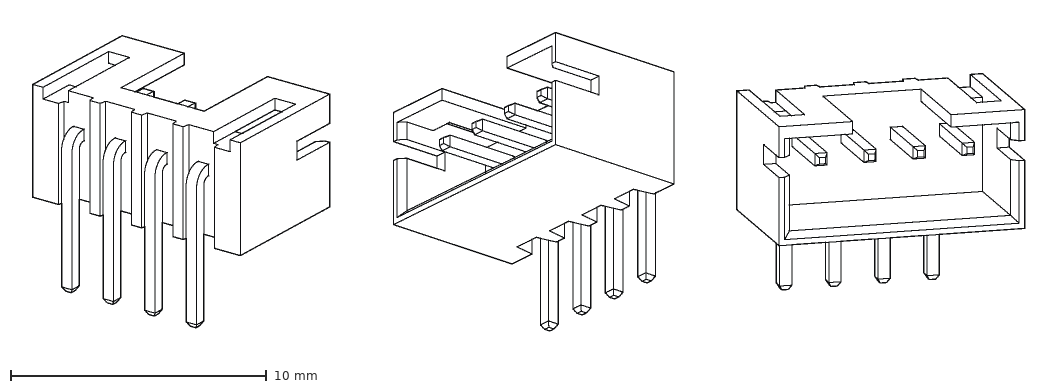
import cadquery as cq
import math

PIN_COUNT = 4
PITCH = 2.0
PIN_XS = [(i - (PIN_COUNT - 1) / 2) * PITCH for i in range(PIN_COUNT)]

LENGTH = 10.0
DEPTH = 6.0
HEIGHT = 4.8
WALL = 0.5
BACK_WALL = 1.75
MOUTH_CHAMFER = 0.27

ROOF_OPENING_WIDTH = 4.0
ROOF_SLOT_WIDTH = 1.0
ROOF_SLOT_END = 4.4
SIDE_SLOT_BOTTOM = 2.75
SIDE_SLOT_TOP = 3.55
SIDE_SLOT_START = 3.8

RIB_WIDTH = 0.5
CHANNEL_WIDTH = PITCH - RIB_WIDTH
CHANNEL_DEPTH = 0.3
CHANNEL_FOOT_DEPTH = 0.9
CHANNEL_FOOT_HEIGHT = 2.66
CHANNEL_DRAFT = 10.0

PIN_SIZE = 0.5
PIN_AXIS_Z = 3.1
PIN_FRONT = 5.2
PIN_BOTTOM = -3.4
BEND_OUTER = 0.75
BEND_INNER = BEND_OUTER - PIN_SIZE
FRONT_TIP_LENGTH = 0.23
BOTTOM_TIP_LENGTH = 0.2
TIP_INSET = 0.12


def box(x_range, y_range, z_range):
    """Axis-aligned box between the given limits."""
    (x0, x1), (y0, y1), (z0, z1) = x_range, y_range, z_range
    return cq.Workplane("XY").box(x1 - x0, y1 - y0, z1 - z0, centered=False).translate((x0, y0, z0))


def make_cavity():
    """Mating cavity, flared at its mouth along the floor and the end walls but not along the roof."""
    half = LENGTH / 2 - WALL
    roof = HEIGHT - WALL
    cavity = box((-half, half), (BACK_WALL, DEPTH), (WALL, roof))
    flare_start = DEPTH - MOUTH_CHAMFER
    flare_half = half + MOUTH_CHAMFER
    end_flare = [(half, flare_start), (flare_half, DEPTH), (-flare_half, DEPTH), (-half, flare_start)]
    floor_flare = [(flare_start, WALL), (DEPTH, WALL - MOUTH_CHAMFER), (DEPTH, roof), (flare_start, roof)]
    flare = (
        cq.Workplane("XY")
        .polyline(end_flare)
        .close()
        .extrude(roof)
        .intersect(cq.Workplane("YZ").polyline(floor_flare).close().extrude(flare_half, both=True))
    )
    return cavity.union(flare)


def make_channel(x):
    """Channel with drafted sides whose bottom slopes deeper towards the foot."""
    profile = [
        (0, 0),
        (CHANNEL_FOOT_DEPTH, 0),
        (CHANNEL_DEPTH, CHANNEL_FOOT_HEIGHT),
        (CHANNEL_DEPTH, HEIGHT),
        (0, HEIGHT),
    ]
    side = cq.Workplane("YZ").polyline(profile).close().extrude(CHANNEL_WIDTH / 2, both=True)
    inset = CHANNEL_FOOT_DEPTH * math.tan(math.radians(CHANNEL_DRAFT))
    half = CHANNEL_WIDTH / 2
    outline = [(-half, 0), (half, 0), (half - inset, CHANNEL_FOOT_DEPTH), (inset - half, CHANNEL_FOOT_DEPTH)]
    plan = cq.Workplane("XY").polyline(outline).close().extrude(HEIGHT)
    return side.intersect(plan).translate((x, 0, 0))


def make_roof_slot(side):
    """Slot in the roof beside an end wall, running out through the back."""
    inner = LENGTH / 2 - WALL - ROOF_SLOT_WIDTH
    xs = sorted((side * inner, side * (inner + ROOF_SLOT_WIDTH)))
    return box(xs, (0, ROOF_SLOT_END), (HEIGHT - WALL, HEIGHT))


def make_pin(x):
    """Bent square pin with a tapered tip at each end."""
    half = PIN_SIZE / 2
    top = PIN_AXIS_Z + half
    bend_y = BEND_OUTER - PIN_SIZE
    bend_z = top - BEND_OUTER
    front = PIN_FRONT - FRONT_TIP_LENGTH
    bottom = PIN_BOTTOM + BOTTOM_TIP_LENGTH
    c45 = math.cos(math.radians(45))
    wire = (
        cq.Workplane("YZ")
        .moveTo(front, top)
        .lineTo(bend_y, top)
        .threePointArc((bend_y - BEND_OUTER * c45, bend_z + BEND_OUTER * c45), (-PIN_SIZE, bend_z))
        .lineTo(-PIN_SIZE, bottom)
        .lineTo(0, bottom)
        .lineTo(0, bend_z)
        .threePointArc((bend_y - BEND_INNER * c45, bend_z + BEND_INNER * c45), (bend_y, bend_z + BEND_INNER))
        .lineTo(front, bend_z + BEND_INNER)
        .close()
        .extrude(half, both=True)
    )
    tip_size = PIN_SIZE - 2 * TIP_INSET
    front_tip = (
        cq.Workplane(cq.Plane((0, front, PIN_AXIS_Z), (1, 0, 0), (0, 1, 0)))
        .rect(PIN_SIZE, PIN_SIZE)
        .workplane(offset=FRONT_TIP_LENGTH)
        .rect(tip_size, tip_size)
        .loft()
    )
    bottom_tip = (
        cq.Workplane(cq.Plane((0, -half, bottom), (1, 0, 0), (0, 0, -1)))
        .rect(PIN_SIZE, PIN_SIZE)
        .workplane(offset=BOTTOM_TIP_LENGTH)
        .rect(tip_size, tip_size)
        .loft()
    )
    return wire.union(front_tip).union(bottom_tip).translate((x, 0, 0))


def make_housing(pins):
    """Shroud with its openings, channels and pin holes."""
    half = LENGTH / 2
    housing = box((-half, half), (0, DEPTH), (0, HEIGHT)).cut(make_cavity())
    half_opening = ROOF_OPENING_WIDTH / 2
    housing = housing.cut(box((-half_opening, half_opening), (BACK_WALL, DEPTH), (HEIGHT - WALL, HEIGHT)))
    housing = housing.cut(box((-half, half), (SIDE_SLOT_START, DEPTH), (SIDE_SLOT_BOTTOM, SIDE_SLOT_TOP)))
    for side in (-1, 1):
        housing = housing.cut(make_roof_slot(side))
    for x in PIN_XS:
        housing = housing.cut(make_channel(x))
    for pin in pins:
        housing = housing.cut(pin)
    return housing


pins = [make_pin(x) for x in PIN_XS]
housing = make_housing(pins)
result = cq.Compound.makeCompound([housing.val(), *[pin.val() for pin in pins]])